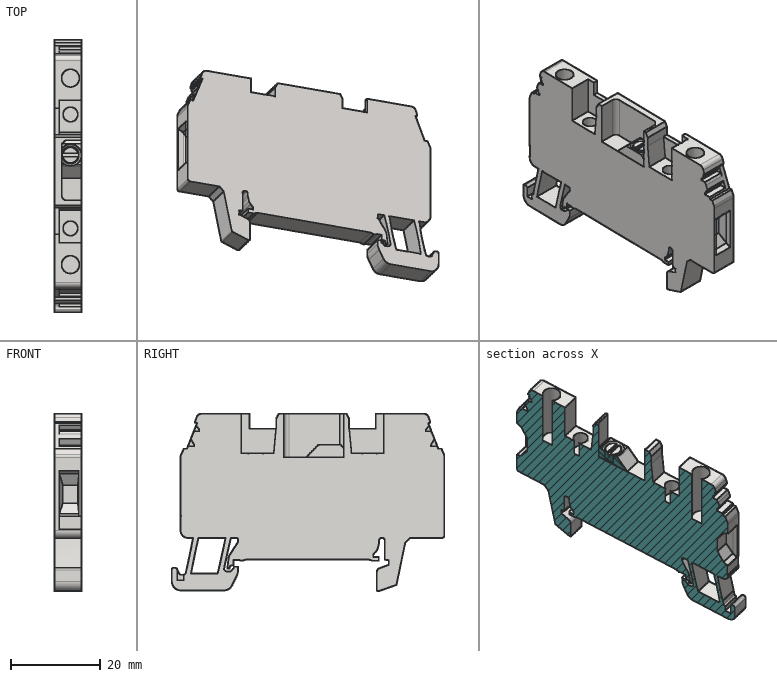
import cadquery as cq
import math


THICKNESS = 6.1
HEIGHT = 39.96
LENGTH = 61.28
CATCH_END_Y = 29.6
SPRING_END_Y = -29.7
FOOT_TIP_Y = CATCH_END_Y - LENGTH

BODY_BOTTOM_Z = 12.0
RAIL_FACE_Z = 7.15
SHOULDER_Z = 32.1
LIP_Z = 37.8
NOTCH_Z = 36.6
SPRING_FOOT_BOTTOM_Z = 0.2

SIDE_WALL = 1.1
WELL_X = 3.6
NOTCH_INNER_Y = 8.22
NOTCH_OUTER_Y = 14.15
WEB_CHAMFER_Y = 0.6
WEB_CHAMFER_Z = 1.15

SOCKET_OUTER_Y = 16.0
SOCKET_FLOOR_Z = 31.0
SOCKET_FLOOR_INNER_Y = 8.75
SOCKET_HOLE_Y = 12.8
SOCKET_HOLE_DIAMETER = 3.3
SOCKET_HOLE_DEPTH = 4.0

WELL_Y = 20.95
WELL_DIAMETER = 4.0
WELL_DEPTH = 14.0

GROOVES = ((37.3, 35.45, 0.55), (34.3, 32.6, 0.0))
GROOVE_DEPTH = 1.5
GROOVE_MOUTH_Y = 30.0
GROOVE_BACK_HEIGHT = 0.3
SHOULDER_TOP_Y = 26.0
SHOULDER_FOOT_Y = 28.25
SHOULDER_LEAN = (SHOULDER_FOOT_Y - SHOULDER_TOP_Y) / (LIP_Z - SHOULDER_Z)
RIM_INSET = 0.35

FUNNEL_FRONT = (SIDE_WALL, 5.5, 16.95, 27.1)
FUNNEL_NECK = (SIDE_WALL, 5.5, 17.5, 26.4)
FUNNEL_END = (1.9, 5.25, 19.85, 23.9)
FUNNEL_NECK_DEPTH = 1.2
FUNNEL_DEPTH = 2.9
APRON_RECESS = 0.1
APRON_BOTTOM_Z = 14.0

POCKET_WALL = 1.65
POCKET_FRONT_Y = -6.5
POCKET_BACK_Y = 7.0
POCKET_CORNER = 1.1
POCKET_CHAMFER = 0.85
POCKET_FLOOR_Z = 30.1
SLIDER_TOP_Z = 33.0
SLIDER_TOP_BACK_Y = 6.2
SLIDER_TOP_FRONT_Y = 1.45
SLIDER_BEVEL_Y = 1.2
SLIDER_BEVEL_DROP = 0.15
SLIDER_FRONT_Y = -1.5
SLIDER_BACK_DROP = 0.75
SCREW_Y = 3.65
SCREW_DIAMETER = 3.8
COUNTERSINK_DIAMETER = 4.9
COUNTERSINK_DEPTH = 0.5
SCREW_LENGTH = 2.5
SCREW_EDGE = 0.15
SCREW_SLOT_WIDTH = 0.8
SCREW_SLOT_DEPTH = 0.6

SLOT_ROUNDS = (
    (14.5, 16.5, 0.55),
    (-17.0, -16.5, 0.3),
)

WINDOW_FLOOR_Z = 4.05
LEG_WIDTH = 1.25
LEG_WAIST = 0.14
LEG_FAR_WAIST = 0.02
FOOT_POCKET_OUTER_Y = -30.4
FOOT_POCKET_INNER_Y = -29.0
FOOT_POCKET_FLOOR_Z = 2.5


def rounded_outline(corners):
    """Closed YZ outline from (y, z) or (y, z, radius) corners."""
    count = len(corners)
    path = None
    for i, corner in enumerate(corners):
        y, z = corner[:2]
        radius = corner[2] if len(corner) == 3 else 0
        if radius == 0:
            start = middle = end = (y, z)
        else:
            before = corners[i - 1]
            after = corners[(i + 1) % count]
            angle_in = math.atan2(before[1] - z, before[0] - y)
            angle_out = math.atan2(after[1] - z, after[0] - y)
            half = abs(math.remainder(angle_out - angle_in, 2 * math.pi)) / 2
            bisector = angle_in + math.remainder(angle_out - angle_in, 2 * math.pi) / 2
            tangent = radius / math.tan(half)
            nearest = radius / math.sin(half) - radius
            start = (y + tangent * math.cos(angle_in), z + tangent * math.sin(angle_in))
            end = (y + tangent * math.cos(angle_out), z + tangent * math.sin(angle_out))
            middle = (y + nearest * math.cos(bisector), z + nearest * math.sin(bisector))
        path = cq.Workplane("YZ").moveTo(*start) if path is None else path.lineTo(*start)
        if radius:
            path = path.threePointArc(middle, end)
    return path.close()


def plate(corners, x_start=0.0, x_end=THICKNESS):
    """Plate with the given YZ outline between two X positions."""
    return rounded_outline(corners).extrude(x_end - x_start).translate((x_start, 0, 0))


def box(x_range, y_range, z_range):
    """Axis-aligned box from three (low, high) ranges."""
    size = [high - low for low, high in (x_range, y_range, z_range)]
    corner = (x_range[0], y_range[0], z_range[0])
    return cq.Workplane("XY").box(*size, centered=False).translate(corner)


def upright_cylinder(diameter, y, bottom_z, top_z):
    """Vertical cylinder on the common hole axis plane."""
    base = cq.Workplane("XY", origin=(WELL_X, y, bottom_z))
    return base.circle(diameter / 2).extrude(top_z - bottom_z)


def shoulder(side):
    """Corners of one top end, from the top face down to the shoulder."""
    return [
        (side * 25.8, HEIGHT, 1.2),
        (side * 26.45, 38.1),
        (side * 26.45, LIP_Z + 0.1),
        (side * SHOULDER_TOP_Y, LIP_Z),
        (side * SHOULDER_FOOT_Y, SHOULDER_Z),
        (side * 28.95, SHOULDER_Z),
    ]


def notch(side):
    """Corners of one top notch, from the outer block to the middle web."""
    return [
        (side * NOTCH_OUTER_Y, HEIGHT),
        (side * NOTCH_OUTER_Y, NOTCH_Z),
        (side * NOTCH_INNER_Y, NOTCH_Z),
        (side * NOTCH_INNER_Y, HEIGHT - WEB_CHAMFER_Z),
        (side * (NOTCH_INNER_Y - WEB_CHAMFER_Y), HEIGHT),
    ]


def main_plate():
    spring_end = [
        (SPRING_END_Y, 30.5, 1.5),
        (SPRING_END_Y, BODY_BOTTOM_Z, 1.7),
    ]
    catch_end = [
        (CATCH_END_Y, BODY_BOTTOM_Z, 0.55),
        (CATCH_END_Y, 30.7, 1.5),
    ]
    top = shoulder(1)[::-1] + notch(1) + notch(-1)[::-1] + shoulder(-1)
    return plate(top + spring_end + catch_end)


def rail_seat():
    """Lower middle part that rests on the rail, with a hook at each end."""
    overlap_z = BODY_BOTTOM_Z + 1
    return plate([
        (14.95, overlap_z),
        (14.95, 10.8, 2.0),
        (14.55, 9.3, 1.5),
        (13.65, 8.3),
        (13.65, 7.75),
        (14.9, 7.75),
        (14.9, 6.85),
        (13.5, 6.85),
        (12.6, RAIL_FACE_Z),
        (-14.9, RAIL_FACE_Z),
        (-15.9, 6.85),
        (-16.6, 7.05),
        (-17.75, 7.05),
        (-17.75, 5.9),
        (-18.5, 5.75),
        (-18.7, 5.1),
        (-19.2, 5.1),
        (-18.85, 7.9, 1.5),
        (-16.8, 11.1),
        (-16.8, overlap_z),
    ])


def catch_foot():
    """Rigid hooked foot at the +Y end."""
    overlap_z = BODY_BOTTOM_Z + 1
    slot_outer_y = 16.2
    foot = plate([
        (21.05, overlap_z),
        (21.05, BODY_BOTTOM_Z),
        (18.85, 1.45, 0.3),
        (14.75, 0.0),
        (14.4, 0.2),
        (14.4, 5.0, 0.9),
        (17.05, 6.0),
        (17.05, 7.0),
        (slot_outer_y, 7.1),
        (slot_outer_y, overlap_z),
    ])
    root_round = plate([
        (21.9, BODY_BOTTOM_Z),
        (21.05, BODY_BOTTOM_Z),
        (20.82, 10.95),
    ])
    return foot.union(root_round)


def leg_section(x, waist, top, bottom, width):
    """Section of a slanted leg at one X, with both faces bowed inwards by the given amount."""
    y_middle = (top[0] + bottom[0]) / 2
    z_middle = (top[1] + bottom[1]) / 2
    path = cq.Workplane("YZ", origin=(x, 0, 0)).moveTo(*top)
    path = path.threePointArc((y_middle - waist, z_middle), bottom)
    path = path.lineTo(bottom[0] - width, bottom[1])
    path = path.threePointArc((y_middle - width + waist, z_middle), (top[0] - width, top[1]))
    return path.close().wire().val()


def leg(y_top, y_bottom):
    """One slanted spring leg; its waist fades out towards +X."""
    top = (y_top, BODY_BOTTOM_Z)
    bottom = (y_bottom, WINDOW_FLOOR_Z)
    near = leg_section(0, LEG_WAIST, top, bottom, LEG_WIDTH)
    far = leg_section(THICKNESS, LEG_FAR_WAIST, top, bottom, LEG_WIDTH)
    return cq.Workplane(cq.Solid.makeLoft([near, far], True))


def spring_foot():
    """Sprung foot at the -Y end, hanging on two slanted legs."""
    foot = plate([
        (-16.75, 5.6),
        (-16.75, 4.0, 3.0),
        (-18.7, SPRING_FOOT_BOTTOM_Z, 2.0),
        (FOOT_TIP_Y, SPRING_FOOT_BOTTOM_Z, 2.1),
        (FOOT_TIP_Y, 5.35, 0.5),
        (-30.6, 5.35, 0.6),
        (-29.9, 3.8, 0.5),
        (-28.6, 3.8, 0.5),
        (-28.3, 5.2),
        (-27.3, WINDOW_FLOOR_Z),
        (-21.4, WINDOW_FLOOR_Z),
        (-20.9, 5.2),
        (-19.95, 5.6),
        (-19.95, 4.5, 0.8),
        (-18.5, 4.5, 0.3),
        (-17.75, 5.2),
        (-17.75, 5.6),
    ])
    inner_leg = leg(-18.35, -20.1)
    outer_leg = leg(-25.65, -27.3)
    pocket = box(
        (SIDE_WALL, THICKNESS),
        (FOOT_POCKET_OUTER_Y, FOOT_POCKET_INNER_Y),
        (FOOT_POCKET_FLOOR_Z, HEIGHT),
    )
    return foot.cut(pocket).union(inner_leg).union(outer_leg)


def socket(side):
    """Open test socket beside the middle web, with its round hole."""
    recess = plate([
        (side * SOCKET_OUTER_Y, HEIGHT),
        (side * SOCKET_OUTER_Y, SOCKET_FLOOR_Z),
        (side * SOCKET_FLOOR_INNER_Y, SOCKET_FLOOR_Z),
        (side * NOTCH_INNER_Y, NOTCH_Z),
        (side * NOTCH_INNER_Y, HEIGHT),
    ], SIDE_WALL)
    hole_bottom_z = SOCKET_FLOOR_Z - SOCKET_HOLE_DEPTH
    hole = upright_cylinder(SOCKET_HOLE_DIAMETER, side * SOCKET_HOLE_Y, hole_bottom_z, SOCKET_FLOOR_Z)
    return recess.union(hole)


def screw_well(side):
    return upright_cylinder(WELL_DIAMETER, side * WELL_Y, HEIGHT - WELL_DEPTH, HEIGHT)


def shoulder_y(z):
    """Distance of the sloped shoulder face from Y = 0 at the given height."""
    return SHOULDER_TOP_Y + (LIP_Z - z) * SHOULDER_LEAN


def finger_groove(side, lip_z, rim_z, rim_drop):
    """Groove with a level floor, an upright back and a roof rising outwards."""
    floor_z = rim_z + rim_drop
    back_y = shoulder_y(rim_z) - GROOVE_DEPTH
    profile = [
        (side * back_y, floor_z),
        (side * back_y, floor_z + GROOVE_BACK_HEIGHT),
        (side * shoulder_y(lip_z), lip_z),
        (side * GROOVE_MOUTH_Y, lip_z),
        (side * GROOVE_MOUTH_Y, rim_z),
    ]
    if rim_drop:
        profile.append((side * shoulder_y(rim_z), rim_z))
        profile.append((side * (shoulder_y(rim_z) - RIM_INSET), floor_z))
    return plate(profile, SIDE_WALL)


def funnel_stage(opening, far_opening, y_start, y_end):
    """Tapered passage between two rectangular openings."""
    def wire(limits, y):
        x_min, x_max, z_min, z_max = limits
        corners = [(x_min, z_min), (x_max, z_min), (x_max, z_max), (x_min, z_max)]
        return cq.Wire.makePolygon([cq.Vector(x, y, z) for x, z in corners], close=True)

    return cq.Workplane(cq.Solid.makeLoft([wire(opening, y_start), wire(far_opening, y_end)], True))


def wire_funnel(end_y, inward):
    neck_y = end_y + inward * FUNNEL_NECK_DEPTH
    deep_y = end_y + inward * FUNNEL_DEPTH
    mouth = funnel_stage(FUNNEL_FRONT, FUNNEL_NECK, end_y, neck_y)
    throat = funnel_stage(FUNNEL_NECK, FUNNEL_END, neck_y, deep_y)
    return mouth.union(throat)


def apron_recess():
    """Shallow step in the -Y end face below the wire funnel."""
    return box(
        (SIDE_WALL, THICKNESS),
        (SPRING_END_Y, SPRING_END_Y + APRON_RECESS),
        (APRON_BOTTOM_Z, FUNNEL_FRONT[2]),
    )


def disconnect_pocket():
    """Pocket in the middle web, open at the top and on the +X side."""
    return (
        cq.Workplane("XY", origin=(0, 0, POCKET_FLOOR_Z))
        .moveTo(THICKNESS, POCKET_FRONT_Y)
        .lineTo(POCKET_WALL + POCKET_CORNER, POCKET_FRONT_Y)
        .radiusArc((POCKET_WALL, POCKET_FRONT_Y + POCKET_CORNER), POCKET_CORNER)
        .lineTo(POCKET_WALL, POCKET_BACK_Y - POCKET_CHAMFER)
        .lineTo(POCKET_WALL + POCKET_CHAMFER, POCKET_BACK_Y)
        .lineTo(THICKNESS, POCKET_BACK_Y)
        .close()
        .extrude(HEIGHT - POCKET_FLOOR_Z)
    )


def round_slot_tops(body):
    """Rounds the corners where the foot slots end at the body bottom."""
    for y_low, y_high, radius in SLOT_ROUNDS:
        corners = cq.selectors.BoxSelector(
            (0, y_low, BODY_BOTTOM_Z - 0.1),
            (THICKNESS, y_high, BODY_BOTTOM_Z + 0.1),
        )
        body = body.edges("|X").edges(corners).fillet(radius)
    return body


def build_housing():
    body = main_plate().union(rail_seat()).union(catch_foot()).union(spring_foot())
    body = round_slot_tops(body)
    for side in (1, -1):
        body = body.cut(socket(side)).cut(screw_well(side))
        for lip_z, rim_z, rim_drop in GROOVES:
            body = body.cut(finger_groove(side, lip_z, rim_z, rim_drop))
    body = body.cut(wire_funnel(SPRING_END_Y, 1)).cut(wire_funnel(CATCH_END_Y, -1))
    return body.cut(apron_recess()).cut(disconnect_pocket())


def build_slider():
    """Block with sloped ends that fills the +Y part of the pocket."""
    block = plate([
        (POCKET_BACK_Y, POCKET_FLOOR_Z),
        (POCKET_BACK_Y, SLIDER_TOP_Z - SLIDER_BACK_DROP),
        (SLIDER_TOP_BACK_Y, SLIDER_TOP_Z),
        (SLIDER_TOP_FRONT_Y, SLIDER_TOP_Z),
        (SLIDER_BEVEL_Y, SLIDER_TOP_Z - SLIDER_BEVEL_DROP),
        (SLIDER_FRONT_Y, POCKET_FLOOR_Z),
    ], POCKET_WALL)
    block = block.intersect(disconnect_pocket())
    hole = upright_cylinder(SCREW_DIAMETER, SCREW_Y, SLIDER_TOP_Z - SCREW_LENGTH, SLIDER_TOP_Z)
    countersink = cq.Workplane(cq.Solid.makeCone(
        SCREW_DIAMETER / 2,
        COUNTERSINK_DIAMETER / 2,
        COUNTERSINK_DEPTH,
        pnt=cq.Vector(WELL_X, SCREW_Y, SLIDER_TOP_Z - COUNTERSINK_DEPTH),
    ))
    return block.cut(hole).cut(countersink)


def build_screw():
    """Slotted screw standing in the slider, flush with its top."""
    bottom_z = SLIDER_TOP_Z - SCREW_LENGTH
    body = upright_cylinder(SCREW_DIAMETER, SCREW_Y, bottom_z, SLIDER_TOP_Z)
    body = body.faces(">Z").chamfer(SCREW_EDGE)
    slot = box(
        (0, THICKNESS),
        (SCREW_Y - SCREW_SLOT_WIDTH / 2, SCREW_Y + SCREW_SLOT_WIDTH / 2),
        (SLIDER_TOP_Z - SCREW_SLOT_DEPTH, SLIDER_TOP_Z),
    )
    return body.cut(slot)


housing = build_housing()
slider = build_slider()
screw = build_screw()

result = cq.Compound.makeCompound([housing.val(), slider.val(), screw.val()])